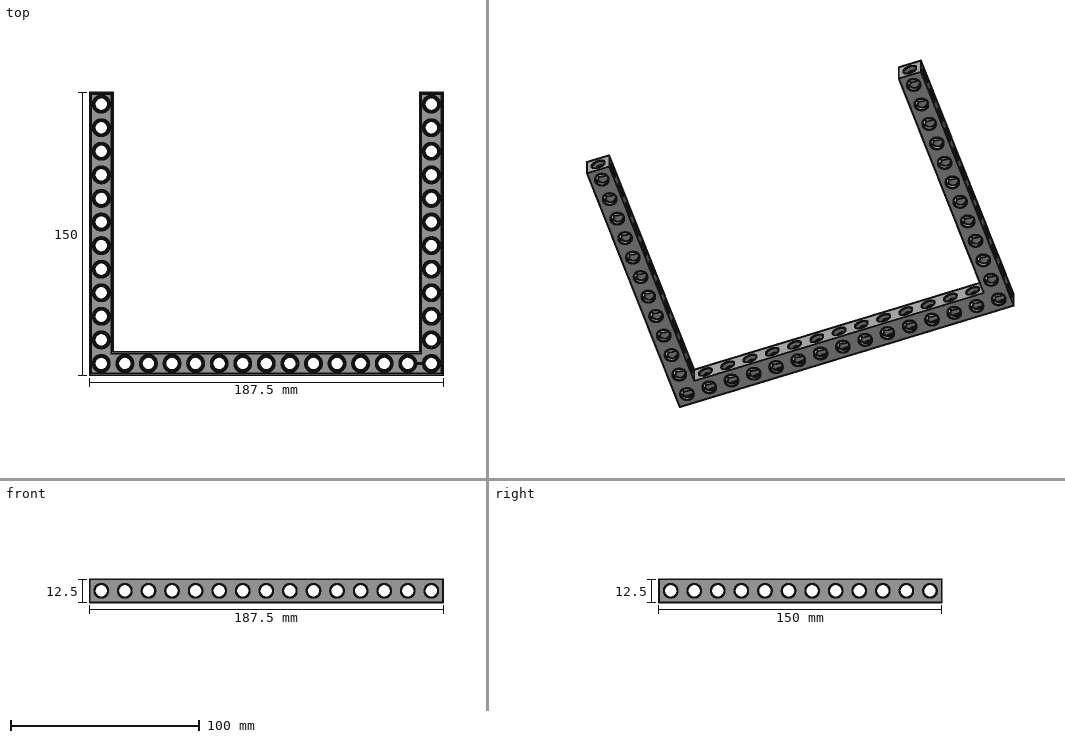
import cadquery as cq

holes_along_x = 15
holes_along_y = 12
length = 187.5
pitch = length / holes_along_x
width = holes_along_y * pitch
beam = pitch
mid = beam / 2

hole_diameter = 7.0
mouth_diameter = 7.5
chamfer = (mouth_diameter - hole_diameter) / 2

rim = 1.0
recess_depth = 0.2
collar_diameter = 9.2

rib_thickness = 0.5

x_stations = [(i + 0.5) * pitch for i in range(holes_along_x)]
y_stations = [(i + 0.5) * pitch for i in range(holes_along_y)]
leg_centres = (mid, length - mid)
vertical_hole_points = [(x, mid) for x in x_stations]
vertical_hole_points += [(x, y) for x in leg_centres for y in y_stations[1:]]


def u_prism(inset, bottom, height):
    """U-shaped prism whose outline lies the given inset inside the frame outline."""
    near = inset
    far = length - inset
    end = width - inset
    inner = beam - inset
    outline = [
        (near, near),
        (far, near),
        (far, end),
        (length - inner, end),
        (length - inner, inner),
        (inner, inner),
        (inner, end),
        (near, end),
    ]
    return cq.Workplane("XY").workplane(offset=bottom).polyline(outline).close().extrude(height)


def top_recess():
    """Material removed from the top face around the collars and the rib."""
    floor = beam - recess_depth
    floor_plane = cq.Workplane("XY").workplane(offset=floor)
    collars = floor_plane.pushPoints(vertical_hole_points).circle(collar_diameter / 2).extrude(recess_depth)
    rib_centre = (x_stations[-2] + x_stations[-1]) / 2
    rib = floor_plane.center(rib_centre, mid).rect(pitch, rib_thickness).extrude(recess_depth)
    return u_prism(rim, floor, recess_depth).cut(collars).cut(rib)


def hole_cutter(depth):
    """Solid of one hole of the given depth along Z, flared at both ends."""
    bore = hole_diameter / 2
    mouth = mouth_diameter / 2
    profile = [
        (0, 0),
        (mouth, 0),
        (bore, chamfer),
        (bore, depth - chamfer),
        (mouth, depth),
        (0, depth),
    ]
    return cq.Workplane("XZ").polyline(profile).close().revolve(360, (0, 0), (0, 1)).val()


def drill(body, direction, starts, depth):
    """Cut equal parallel holes that begin at the given points and run in the given direction."""
    cutter = hole_cutter(depth)
    cutters = [cutter.located(cq.Location(cq.Plane(start, normal=direction))) for start in starts]
    return body.cut(cq.Workplane(cq.Compound.makeCompound(cutters)))


along_x = (1, 0, 0)
along_y = (0, 1, 0)
along_z = (0, 0, 1)

frame = u_prism(0, 0, beam).cut(top_recess())

frame = drill(frame, along_z, [(x, y, 0) for x, y in vertical_hole_points], beam)

frame = drill(frame, along_x, [(0, mid, mid)], length)
frame = drill(frame, along_x, [(x - mid, y, mid) for x in leg_centres for y in y_stations[1:]], beam)

frame = drill(frame, along_y, [(x, 0, mid) for x in leg_centres], width)
frame = drill(frame, along_y, [(x, 0, mid) for x in x_stations[1:-1]], beam)

result = frame